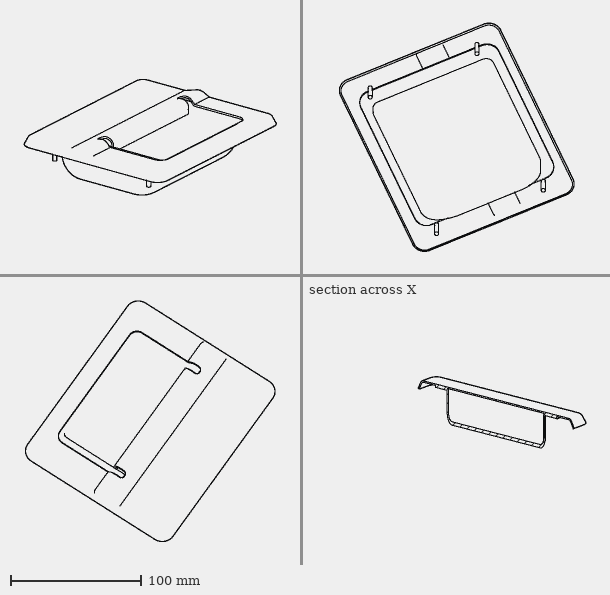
import cadquery as cq
import math

length_x = 135.0
width_y = 157.0
height_z = 42.9
wall = 1.5
plate_top = 7.8
draft = 27.5
corner_radius = 10.0
edge_round = 3.5
rim_tolerance = 0.2
lip_height = wall * math.sin(math.radians(draft))
lip_inset = wall * math.cos(math.radians(draft))

ridge_top = 12.7
clear_top = ridge_top + 1.5
ridge_radius = 7.4
ridge_x = -5.8
ridge_z = ridge_top - ridge_radius
left_slope = math.radians(19)
right_slope = math.radians(45)

cup_length = 101.1
cup_width = 100.3
cup_depth = height_z - ridge_top
cup_left_radius = 18.2
cup_right_radius = 32.0
cup_side_round = 6.3

curl_radius = 4.4
curl_x = ridge_x + (ridge_radius - curl_radius) * math.sin(right_slope)
curl_z = ridge_z + (ridge_radius - curl_radius) * math.cos(right_slope)
free_edge_z = 1.5
opening_left = curl_x + curl_radius
ledge_z = plate_top - wall
ledge_left = -10.8
ledge_right = 51.5
ledge_width = 109.3
ledge_corner = 6.9
slot_nose = 2.2
rim_round = 1.3
mouth_width = cup_width - 2 * wall
flange_length = 116.2
flange_width = 121.8

pin_diameter = 3.1
pin_spacing_x = 89.8
pin_spacing_y = 125.6
pin_depth = 11.6


def box(x_min, x_max, width, z_min, z_max):
    """Block centred on Y between the given X and Z limits."""
    block = cq.Workplane("XY").box(x_max - x_min, width, z_max - z_min, centered=(False, True, False))
    return block.translate((x_min, 0, z_min))


def ridge_profile(depth):
    """Prism under the plate's top surface, sunk by depth along the surface normal."""
    flat = plate_top - depth
    radius = ridge_radius - depth

    def arc_point(angle):
        return (ridge_x + radius * math.sin(angle), ridge_z + radius * math.cos(angle))

    left = arc_point(-left_slope)
    right = arc_point(right_slope)
    left_foot = left[0] - (left[1] - flat) / math.tan(left_slope)
    right_foot = right[0] + (right[1] - flat) / math.tan(right_slope)
    return (
        cq.Workplane("XZ")
        .moveTo(-length_x, 0)
        .lineTo(-length_x, flat)
        .lineTo(left_foot, flat)
        .lineTo(*left)
        .threePointArc(arc_point(0), right)
        .lineTo(right_foot, flat)
        .lineTo(length_x, flat)
        .lineTo(length_x, 0)
        .close()
        .extrude(width_y, both=True)
    )


def tapered_slab(inset, z, height, taper):
    """Rounded rectangle, inset from the plate outline, extruded from z with a taper."""
    outline = cq.Sketch().rect(length_x - 2 * inset, width_y - 2 * inset)
    outline = outline.vertices().fillet(corner_radius - inset)
    return cq.Workplane("XY").workplane(offset=z).placeSketch(outline).extrude(height, taper=taper)


def is_ridge_crease(edge):
    """True for the ridge's straight creases, which run along Y in the middle of the plate."""
    centre = edge.Center()
    return abs(centre.y) < width_y / 4 and abs(centre.x) < length_x / 4


def plate_body(inset, z, depth):
    """Drafted plate with the ridge and a rounded top edge, as a solid block."""
    body = tapered_slab(inset, z, clear_top - z, draft).intersect(ridge_profile(depth))
    flat = plate_top - depth
    rim_edges = [
        edge
        for edge in body.edges().vals()
        if edge.Center().z > flat - rim_tolerance and not is_ridge_crease(edge)
    ]
    return body.newObject(rim_edges).fillet(edge_round - depth)


def cup_body(inset, top):
    """Cup block with round lower corners and sides, inset on every face but the top."""
    half = cup_length / 2 - inset
    bottom = inset - cup_depth
    left_radius = cup_left_radius - inset
    right_radius = cup_right_radius - inset
    diagonal = math.sqrt(0.5)
    left_centre = (left_radius - half, bottom + left_radius)
    right_centre = (half - right_radius, bottom + right_radius)
    body = (
        cq.Workplane("XZ")
        .moveTo(-half, top)
        .lineTo(-half, left_centre[1])
        .threePointArc(
            (left_centre[0] - left_radius * diagonal, left_centre[1] - left_radius * diagonal),
            (left_centre[0], bottom),
        )
        .lineTo(right_centre[0], bottom)
        .threePointArc(
            (right_centre[0] + right_radius * diagonal, right_centre[1] - right_radius * diagonal),
            (half, right_centre[1]),
        )
        .lineTo(half, top)
        .close()
        .extrude(cup_width / 2 - inset, both=True)
    )
    side_edges = body.faces("<Y or >Y").edges("not >Z")
    return body.newObject(side_edges.vals()).fillet(cup_side_round - inset)


def cup_with_flange():
    """Hollow cup with a flange that lies against the plate and forms the ledge."""
    flange = box(-flange_length / 2, flange_length / 2, flange_width, ledge_z - wall, ledge_z)
    flange = flange.edges("|Z").fillet(corner_radius)
    cup = cup_body(0, ledge_z).union(flange).cut(cup_body(wall, ledge_z))
    cup_outline = cq.selectors.BoxSelector(
        (-cup_length / 2, -cup_width / 2, 0),
        (cup_length / 2, cup_width / 2, plate_top),
    )
    return cup.faces(">Z").edges(cup_outline).fillet(rim_round)


def ledge_recess():
    """Recess around the opening, with a round-nosed slot through the ridge at each end."""
    recess = box(opening_left, ledge_right, ledge_width, ledge_z, clear_top)
    recess = recess.edges("|Z and >X").fillet(ledge_corner)
    slot_width = (ledge_width - mouth_width) / 2
    slot_offset = (ledge_width - slot_width) / 2
    slot = box(ledge_left, opening_left + wall, slot_width, ledge_z, clear_top)
    slot = slot.edges("|Z and <X").fillet(slot_nose)
    for side in (-1, 1):
        recess = recess.union(slot.translate((0, side * slot_offset, 0)))
    return recess


def free_edge_curl():
    """Sheet that carries the ridge's arc on, turning down to a vertical free edge."""
    inner_radius = curl_radius - wall
    halfway = (right_slope + math.pi / 2) / 2

    def arc_point(radius, angle):
        return (curl_x + radius * math.sin(angle), curl_z + radius * math.cos(angle))

    return (
        cq.Workplane("XZ")
        .moveTo(*arc_point(curl_radius, right_slope))
        .threePointArc(arc_point(curl_radius, halfway), (curl_x + curl_radius, curl_z))
        .lineTo(curl_x + curl_radius, free_edge_z)
        .lineTo(curl_x + inner_radius, free_edge_z)
        .lineTo(curl_x + inner_radius, curl_z)
        .threePointArc(arc_point(inner_radius, halfway), arc_point(inner_radius, right_slope))
        .close()
        .extrude(mouth_width / 2, both=True)
    )


def free_edge_trim():
    """Wedge that removes the ridge's straight right flank where the sheet curls down instead."""
    reach = ridge_radius
    return (
        cq.Workplane("XZ")
        .moveTo(curl_x, curl_z)
        .lineTo(curl_x + reach * math.sin(right_slope), curl_z + reach * math.cos(right_slope))
        .lineTo(curl_x + reach, ledge_z)
        .lineTo(curl_x, ledge_z)
        .close()
        .extrude(mouth_width / 2, both=True)
    )


def mounting_pins():
    """Four pins standing down from the underside of the plate."""
    return (
        cq.Workplane("XY")
        .workplane(offset=-pin_depth)
        .rect(pin_spacing_x, pin_spacing_y, forConstruction=True)
        .vertices()
        .circle(pin_diameter / 2)
        .extrude(pin_depth + plate_top - wall / 2)
    )


lip = tapered_slab(lip_inset, 0, lip_height, draft - 90)
plate = plate_body(0, lip_height, 0).union(lip).cut(plate_body(lip_inset, 0, wall))
plate = plate.cut(ledge_recess()).cut(free_edge_trim()).union(free_edge_curl())

result = plate.union(cup_with_flange()).union(mounting_pins())